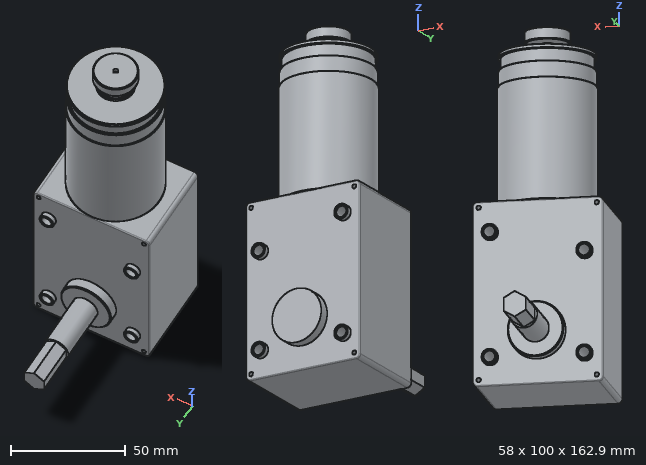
import cadquery as cq
import math

box_width = 58.0
box_depth = 43.8
box_height = 82.7
corner_radius = 2.0
face_edge_radius = 0.5
front_y = -box_depth / 2
back_y = box_depth / 2

post_x = 21.0
low_post_z = 12.5
post_places = [(-post_x, low_post_z), (post_x, low_post_z), (-post_x, 58.5), (post_x, 68.5)]
post_diameter = 7.0
post_hole_diameter = 5.0
post_height = 2.6
post_chamfer = 0.3
post_mouth_chamfer = 0.3

screw_hole_diameter = 2.0
screw_hole_inset = 2.8
screw_x = box_width / 2 - screw_hole_inset
screw_places = [(x, z) for x in (-screw_x, screw_x) for z in (screw_hole_inset, box_height - screw_hole_inset)]

shaft_z = 23.5
boss_diameter = 25.0
boss_height = 5.0
boss_chamfer = 0.5
shaft_diameter = 12.0
shaft_length = 26.2
hex_flats = 10.0
hex_turn = 30
overall_depth = 100.0
hex_length = overall_depth - box_depth - 2 * boss_height - shaft_length

can_diameter = 43.8
rim_diameter = 43.0
waist_diameter = 40.9
collar_diameter = 17.3
collar_top_diameter = 16.3
neck_diameter = 4.9
knob_diameter = 20.0
can_top = 137.6
rim_top = 145.0
flange_bottom = 150.5
flange_top = 152.5
collar_step = 154.0
collar_top = 155.7
knob_bottom = 157.3
knob_top = 162.9
edge_chamfer = 0.3
knob_chamfer = 0.5
knob_hole_diameter = 2.3
knob_hole_depth = 2.0


def cylinder_y(place, diameter, y_start, y_end):
    """Cylinder along Y at the (x, z) place, from y_start to y_end."""
    x, z = place
    base = cq.Vector(x, y_start, z)
    return cq.Workplane(cq.Solid.makeCylinder(diameter / 2, y_end - y_start, base, cq.Vector(0, 1, 0)))


def disc(diameter, z_start, z_end, chamfered="", chamfer=edge_chamfer):
    """Disc on the Z axis with a chamfer around each face chosen by the selector."""
    body = cq.Workplane().workplane(offset=z_start).circle(diameter / 2).extrude(z_end - z_start)
    return body.faces(chamfered).chamfer(chamfer) if chamfered else body


def post_bore(place, y_start, y_end):
    """Cutter for a through hole that flares at both mouths."""
    bore = cylinder_y(place, post_hole_diameter, y_start, y_end)
    x, z = place
    wide_radius = post_hole_diameter / 2 + post_mouth_chamfer
    for y, inward in [(y_start, 1), (y_end, -1)]:
        mouth = cq.Solid.makeCone(
            wide_radius,
            post_hole_diameter / 2,
            post_mouth_chamfer,
            cq.Vector(x, y, z),
            cq.Vector(0, inward, 0),
        )
        bore = bore.union(cq.Workplane(mouth))
    return bore


def make_block():
    """Gearbox block with rounded long corners and eased front and back edges."""
    block = cq.Workplane().box(box_width, box_depth, box_height).edges("|Y").fillet(corner_radius)
    block = block.faces("<Y or >Y").edges().fillet(face_edge_radius)
    return block.translate((0, 0, box_height / 2))


def make_output_shaft(y_start):
    """Round shaft ending in a hexagon with corners at its top and bottom."""
    y_step = y_start + shaft_length
    shaft = cylinder_y((0, shaft_z), shaft_diameter, y_start, y_step)
    hex_corners = hex_flats / math.cos(math.pi / 6)
    hexagon = cq.Workplane("XZ").polygon(6, hex_corners).extrude(-hex_length)
    hexagon = hexagon.rotate((0, 0, 0), (0, 1, 0), hex_turn).translate((0, y_step, shaft_z))
    return shaft.union(hexagon)


def make_gearbox():
    gearbox = make_block()
    post_front = front_y - post_height
    post_back = back_y + post_height
    boss_back = back_y + boss_height

    for place in post_places:
        post = cylinder_y(place, post_diameter, post_front, post_back).faces(">Y").chamfer(post_chamfer)
        gearbox = gearbox.union(post)

    boss = cylinder_y((0, shaft_z), boss_diameter, front_y - boss_height, boss_back)
    gearbox = gearbox.union(boss.faces(">Y").chamfer(boss_chamfer))
    gearbox = gearbox.union(make_output_shaft(boss_back))

    for place in post_places:
        gearbox = gearbox.cut(post_bore(place, post_front, post_back))
    for place in screw_places:
        gearbox = gearbox.cut(cylinder_y(place, screw_hole_diameter, front_y, back_y))
    return gearbox


def make_motor():
    """Stack of coaxial discs from the can up to the knob."""
    motor = disc(can_diameter, box_height, can_top, "<Z or >Z")
    motor = motor.union(disc(rim_diameter, can_top, rim_top, ">Z"))
    motor = motor.union(disc(waist_diameter, rim_top, flange_bottom))
    motor = motor.union(disc(rim_diameter, flange_bottom, flange_top, "<Z or >Z"))
    motor = motor.union(disc(collar_diameter, flange_top, collar_step, ">Z"))
    motor = motor.union(disc(collar_top_diameter, collar_step, collar_top, ">Z"))
    motor = motor.union(disc(neck_diameter, collar_top, knob_bottom))
    motor = motor.union(disc(knob_diameter, knob_bottom, knob_top, "<Z or >Z", knob_chamfer))
    return motor.faces(">Z").workplane().hole(knob_hole_diameter, knob_hole_depth)


gearbox = make_gearbox()
motor = make_motor()
result = cq.Compound.makeCompound([*gearbox.solids().vals(), *motor.solids().vals()])